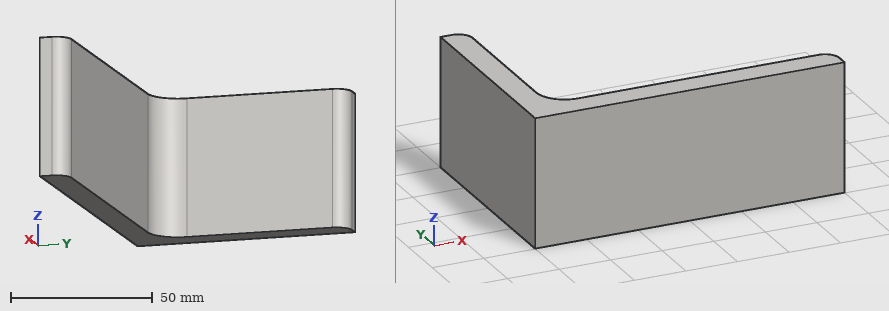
import cadquery as cq

long_leg = 120.0
short_leg = 80.0
thickness = 10.0
length = 50.0
root_radius = 11.0
toe_radius = 5.5


def angle_section():
    """L outline with its outer corner at the origin."""
    return (
        cq.Workplane("XY")
        .moveTo(0, 0)
        .lineTo(long_leg, 0)
        .lineTo(long_leg, thickness)
        .lineTo(thickness, thickness)
        .lineTo(thickness, short_leg)
        .lineTo(0, short_leg)
        .close()
    )


def upright_edge_at(x, y):
    """Selector for the vertical edge nearest to the given section corner."""
    return cq.selectors.NearestToPointSelector((x, y, length / 2))


angle = angle_section().extrude(length)

angle = angle.edges(upright_edge_at(thickness, thickness)).fillet(root_radius)

for toe_x, toe_y in ((long_leg, thickness), (thickness, short_leg)):
    angle = angle.edges(upright_edge_at(toe_x, toe_y)).fillet(toe_radius)

result = angle